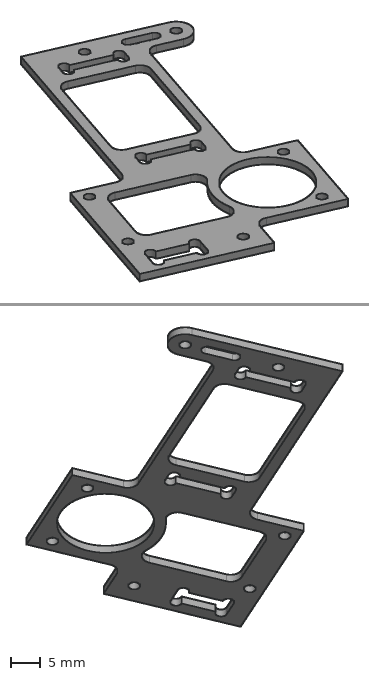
import cadquery as cq
import math

thickness = 1.5
length = 73.0
height = 42.25

arm_bottom = 10.5
arm_top = 31.0
tab_width = 6.0
tab_radius = tab_width / 2
tab_center_y = 38.0
block_left = 44.0
upper_block_right = 65.0
lower_block_top = 25.0
inner_corner_radius = 2.0

screw_diameter = 2.0
tab_hole_x = tab_radius
middle_hole_y = 21.0
side_hole_inset = 4.0
side_hole_x = length - side_hole_inset
block_hole_inset = 2.5
block_hole_top = 38.5

bore_diameter = 16.5
bore_x = (block_left + upper_block_right) / 2
bore_y = 32.0

tab_slot_width = 2.0
tab_slot_bottom = 28.0
tab_slot_top = 35.0

arm_window_left = 10.6
arm_window_right = 34.9
arm_window_bottom = 12.5
arm_window_top = 29.0
window_corner_radius = 2.0

block_window_width = 15.0
block_window_bottom = 5.0
bore_wall = 2.0

head_diameter = 2.0
arm_dogbone_neck = 1.7
arm_dogbone_spacing = 10.2
arm_dogbone_offset = 16.0
side_dogbone_neck = 3.2
side_dogbone_spacing = 8.2
side_dogbone_y = 8.6


def make_plate():
    """Extrude the outline and round its inner corners."""
    outline = (
        cq.Workplane("XY")
        .moveTo(0, arm_bottom)
        .lineTo(block_left, arm_bottom)
        .lineTo(block_left, 0)
        .lineTo(length, 0)
        .lineTo(length, lower_block_top)
        .lineTo(upper_block_right, lower_block_top)
        .lineTo(upper_block_right, height)
        .lineTo(block_left, height)
        .lineTo(block_left, arm_top)
        .lineTo(tab_width, arm_top)
        .lineTo(tab_width, tab_center_y)
        .threePointArc((tab_radius, tab_center_y + tab_radius), (0, tab_center_y))
        .close()
    )
    plate = outline.extrude(thickness)
    inner_corners = [
        (block_left, arm_bottom),
        (upper_block_right, lower_block_top),
        (block_left, arm_top),
        (tab_width, arm_top),
    ]
    for x, y in inner_corners:
        corner_edge = cq.selectors.NearestToPointSelector((x, y, thickness / 2))
        plate = plate.edges("|Z").edges(corner_edge).fillet(inner_corner_radius)
    return plate


def make_round_holes():
    """Cutters for the screw holes and the large bore."""
    centers = [
        (tab_hole_x, tab_center_y),
        (tab_hole_x, middle_hole_y),
        (side_hole_x, middle_hole_y),
    ]
    for x in (block_left + block_hole_inset, upper_block_right - block_hole_inset):
        for y in (block_hole_inset, block_hole_top):
            centers.append((x, y))
    screws = cq.Workplane("XY").pushPoints(centers).circle(screw_diameter / 2).extrude(thickness)
    bore = cq.Workplane("XY").center(bore_x, bore_y).circle(bore_diameter / 2).extrude(thickness)
    return screws.union(bore)


def make_tab_slot():
    """Cutter for the upright slot in the tab."""
    center_y = (tab_slot_bottom + tab_slot_top) / 2
    slot = cq.Workplane("XY").center(tab_hole_x, center_y)
    return slot.slot2D(tab_slot_top - tab_slot_bottom, tab_slot_width, 90).extrude(thickness)


def make_arm_window():
    """Cutter for the rounded rectangular window in the arm."""
    window = (
        cq.Workplane("XY")
        .moveTo(arm_window_left, arm_window_bottom)
        .lineTo(arm_window_right, arm_window_bottom)
        .lineTo(arm_window_right, arm_window_top)
        .lineTo(arm_window_left, arm_window_top)
        .close()
        .extrude(thickness)
    )
    return window.edges("|Z").fillet(window_corner_radius)


def make_block_window():
    """Cutter for the block window, whose top edge is an arc concentric with the bore."""
    half_width = block_window_width / 2
    arc_radius = bore_diameter / 2 + bore_wall
    corner_y = bore_y - math.sqrt(arc_radius**2 - half_width**2)
    left = bore_x - half_width
    right = bore_x + half_width
    window = (
        cq.Workplane("XY")
        .moveTo(left, block_window_bottom)
        .lineTo(right, block_window_bottom)
        .lineTo(right, corner_y)
        .threePointArc((bore_x, bore_y - arc_radius), (left, corner_y))
        .close()
        .extrude(thickness)
    )
    return window.edges("|Z").fillet(window_corner_radius)


def make_dogbone(x, y, neck_width, head_spacing):
    """Cutter for an upright dogbone slot whose head ends are centered on the neck edges."""
    neck = cq.Workplane("XY").center(x, y).rect(neck_width, head_spacing).extrude(thickness)
    half_spacing = head_spacing / 2
    heads = (
        cq.Workplane("XY")
        .pushPoints([(x, y - half_spacing), (x, y + half_spacing)])
        .slot2D(neck_width + head_diameter, head_diameter)
        .extrude(thickness)
    )
    return neck.union(heads)


result = (
    make_plate()
    .cut(make_round_holes())
    .cut(make_tab_slot())
    .cut(make_arm_window())
    .cut(make_block_window())
)

arm_window_center_x = (arm_window_left + arm_window_right) / 2
for side in (-1, 1):
    dogbone_x = arm_window_center_x + side * arm_dogbone_offset
    result = result.cut(make_dogbone(dogbone_x, middle_hole_y, arm_dogbone_neck, arm_dogbone_spacing))

result = result.cut(make_dogbone(side_hole_x, side_dogbone_y, side_dogbone_neck, side_dogbone_spacing))